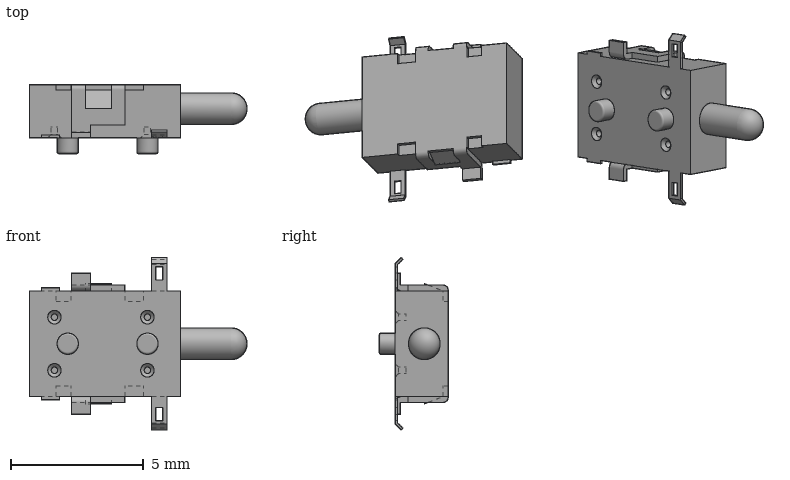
import cadquery as cq
import math


BODY_LENGTH = 5.7
BODY_DEPTH = 2.0
BODY_HALF_HEIGHT = 1.99
COVER_THICKNESS = 0.2
COVER_INNER_Y = BODY_DEPTH - COVER_THICKNESS

PLUNGER_RADIUS = 1.2 / 2
PLUNGER_Y = 1.1
PLUNGER_TIP_X = 8.2

PIN_RADIUS = 0.8 / 2
PIN_LENGTH = 0.6
PIN_EDGE_RADIUS = 0.07
PIN_XS = (1.44, 4.445)

HOLE_DIAMETER = 0.25
COUNTERSINK_DIAMETER = 0.51
COUNTERSINK_ANGLE = 90
HOLE_DEPTH = 0.4
HOLE_XS = (0.94, 4.445)
HOLE_Z = 1.0

LUG_START_X = 0.45
LUG_LENGTH = 0.69
LUG_DEPTH = 0.1
LUG_HEIGHT = 0.12

TERMINAL_START_X = 4.59
TERMINAL_WIDTH = 0.6
TERMINAL_THICKNESS = 0.1
TERMINAL_BEND_Z = 3.025
TERMINAL_SPAN = 6.5
TERMINAL_TIP_Z = TERMINAL_SPAN / 2
TERMINAL_BEND_ANGLE = 45
EYE_WIDTH = 0.255
EYE_HEIGHT = 0.49
EYE_CENTER_Z = 2.65

CLIP_START_X = 1.58
CLIP_LENGTH = 2.01
CLIP_FRONT_Y = 0.49
CLIP_THICKNESS = 0.22
CLIP_OUTER_Z = BODY_HALF_HEIGHT + CLIP_THICKNESS
CLIP_BACK_RADIUS = 0.2
FOOT_THICKNESS = 0.2
FOOT_WIDTH = 0.72
FOOT_TIP_Z = 2.66

WINDOW_START_X = 2.11
WINDOW_LENGTH = 0.98
WINDOW_FRONT_Y = 1.11
LATCH_PROUD = 0.05

LEFT_RECESS = (0.99, 1.56)
RIGHT_RECESS = (CLIP_START_X + CLIP_LENGTH, 4.3)
RECESS_DEPTH = 0.4


def box(x_start, x_length, y_start, y_end, z_start, z_end):
    """Axis-aligned block from its start corner and its extents."""
    return cq.Workplane("XY").box(
        x_length, y_end - y_start, z_end - z_start, centered=False
    ).translate((x_start, y_start, z_start))


def side_section(x_start):
    """Sketch plane across the part at x_start, with local axes Y and Z."""
    return cq.Workplane("YZ", origin=(x_start, 0, 0))


def make_plunger():
    straight_end = PLUNGER_TIP_X - PLUNGER_RADIUS
    section = side_section(BODY_LENGTH / 2).center(PLUNGER_Y, 0)
    shaft = section.circle(PLUNGER_RADIUS).extrude(straight_end - BODY_LENGTH / 2)
    tip = cq.Workplane("XY").sphere(PLUNGER_RADIUS).translate((straight_end, PLUNGER_Y, 0))
    return shaft.union(tip)


def make_pins():
    pins = cq.Workplane("XZ").pushPoints([(x, 0) for x in PIN_XS]).circle(PIN_RADIUS).extrude(PIN_LENGTH)
    return pins.faces("<Y").edges().fillet(PIN_EDGE_RADIUS)


def make_lug():
    top = BODY_HALF_HEIGHT + LUG_HEIGHT
    return box(LUG_START_X, LUG_LENGTH, 0, LUG_DEPTH, 0, top)


def make_terminal():
    bend = math.radians(TERMINAL_BEND_ANGLE)
    tip_run = (TERMINAL_TIP_Z - TERMINAL_BEND_Z) / math.tan(bend)
    tip_y = TERMINAL_THICKNESS * math.cos(bend)
    tip_z = TERMINAL_THICKNESS * math.sin(bend)
    inner_bend_z = TERMINAL_BEND_Z - TERMINAL_THICKNESS * math.tan(bend / 2)
    strip = (
        side_section(TERMINAL_START_X)
        .moveTo(0, 0)
        .lineTo(0, TERMINAL_BEND_Z)
        .lineTo(tip_run, TERMINAL_TIP_Z)
        .lineTo(tip_run + tip_y, TERMINAL_TIP_Z - tip_z)
        .lineTo(TERMINAL_THICKNESS, inner_bend_z)
        .lineTo(TERMINAL_THICKNESS, 0)
        .close()
        .extrude(TERMINAL_WIDTH)
    )
    eye_start_x = TERMINAL_START_X + (TERMINAL_WIDTH - EYE_WIDTH) / 2
    eye_bottom = EYE_CENTER_Z - EYE_HEIGHT / 2
    eye = box(eye_start_x, EYE_WIDTH, 0, TERMINAL_THICKNESS, eye_bottom, eye_bottom + EYE_HEIGHT)
    return strip.cut(eye)


def make_clip():
    plate = (
        side_section(CLIP_START_X)
        .moveTo(CLIP_FRONT_Y, BODY_HALF_HEIGHT)
        .lineTo(CLIP_FRONT_Y, CLIP_OUTER_Z)
        .lineTo(BODY_DEPTH - CLIP_BACK_RADIUS, CLIP_OUTER_Z)
        .radiusArc((BODY_DEPTH, CLIP_OUTER_Z - CLIP_BACK_RADIUS), CLIP_BACK_RADIUS)
        .lineTo(BODY_DEPTH, BODY_HALF_HEIGHT)
        .close()
        .extrude(CLIP_LENGTH)
    )
    foot = (
        side_section(CLIP_START_X)
        .moveTo(CLIP_FRONT_Y, BODY_HALF_HEIGHT)
        .lineTo(CLIP_THICKNESS, BODY_HALF_HEIGHT)
        .radiusArc((0, CLIP_OUTER_Z), CLIP_THICKNESS)
        .lineTo(0, FOOT_TIP_Z)
        .lineTo(FOOT_THICKNESS, FOOT_TIP_Z)
        .lineTo(FOOT_THICKNESS, CLIP_OUTER_Z)
        .lineTo(CLIP_FRONT_Y, CLIP_OUTER_Z)
        .close()
        .extrude(FOOT_WIDTH)
    )
    window = box(
        WINDOW_START_X, WINDOW_LENGTH, WINDOW_FRONT_Y, BODY_DEPTH, BODY_HALF_HEIGHT, CLIP_OUTER_Z
    )
    return plate.union(foot).cut(window)


def make_latch():
    return (
        side_section(WINDOW_START_X)
        .moveTo(COVER_INNER_Y, BODY_HALF_HEIGHT)
        .lineTo(WINDOW_FRONT_Y, CLIP_OUTER_Z + LATCH_PROUD)
        .lineTo(WINDOW_FRONT_Y, 0)
        .lineTo(COVER_INNER_Y, 0)
        .close()
        .extrude(WINDOW_LENGTH)
    )


def make_recess(start_x, end_x):
    return box(
        start_x, end_x - start_x, COVER_INNER_Y, BODY_DEPTH, BODY_HALF_HEIGHT - RECESS_DEPTH, BODY_HALF_HEIGHT
    )


def on_both_sides(shape):
    """Pair a shape on the +Z side with its mirror image on the -Z side."""
    return shape.union(shape.mirror("XY"))


def drill_mounting_holes(part):
    centers = [(x, z) for x in HOLE_XS for z in (-HOLE_Z, HOLE_Z)]
    mounting_face = cq.Workplane("XZ").add(part)
    return mounting_face.pushPoints(centers).cskHole(
        HOLE_DIAMETER, COUNTERSINK_DIAMETER, COUNTERSINK_ANGLE, HOLE_DEPTH
    )


body = box(0, BODY_LENGTH, 0, BODY_DEPTH, -BODY_HALF_HEIGHT, BODY_HALF_HEIGHT)
for recess_ends in (LEFT_RECESS, RIGHT_RECESS):
    body = body.cut(on_both_sides(make_recess(*recess_ends)))
body = body.union(make_plunger()).union(make_pins())
for side_feature in (make_lug(), make_terminal(), make_latch(), make_clip()):
    body = body.union(on_both_sides(side_feature))

result = drill_mounting_holes(body)